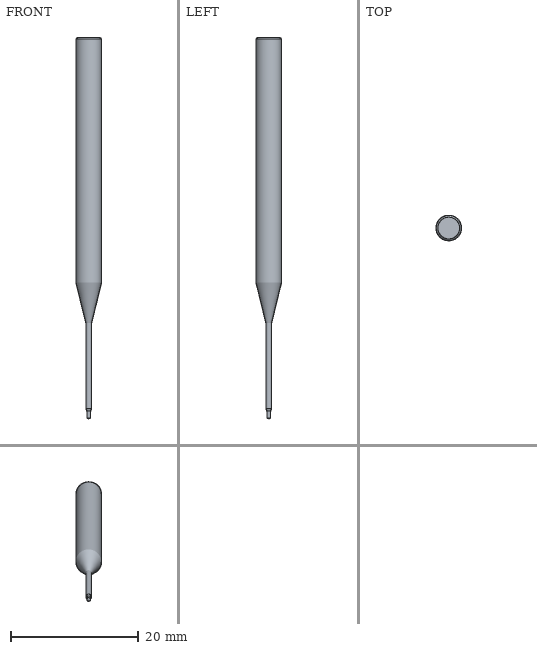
import cadquery as cq

TOOL_LENGTH = 60.0
POINT_HEIGHT = 0.1
TIP_LENGTH = 1.2
NECK_START = 1.6
CONE_START = 15.0
SHANK_START = 21.35

SHANK_RADIUS = 4.0 / 2
NECK_RADIUS = 0.45
TIP_RADIUS = 0.3

BEVEL_HEIGHT = 0.25
BEVEL_INSET = 0.3



def make_shank():
    """Shank, cone, neck and short front taper, turned as one body."""
    return (
        cq.Workplane("XZ")
        .moveTo(0, TIP_LENGTH)
        .lineTo(TIP_RADIUS, TIP_LENGTH)
        .lineTo(NECK_RADIUS, NECK_START)
        .lineTo(NECK_RADIUS, CONE_START)
        .lineTo(SHANK_RADIUS, SHANK_START)
        .lineTo(SHANK_RADIUS, TOOL_LENGTH - BEVEL_HEIGHT)
        .lineTo(SHANK_RADIUS - BEVEL_INSET, TOOL_LENGTH)
        .lineTo(0, TOOL_LENGTH)
        .close()
        .revolve(360, (0, 0, 0), (0, 1, 0))
    )


def make_cutting_tip():
    """Cylindrical cutting tip with a shallow conical point, butting against the front taper."""
    return (
        cq.Workplane("XZ")
        .lineTo(TIP_RADIUS, POINT_HEIGHT)
        .lineTo(TIP_RADIUS, TIP_LENGTH)
        .lineTo(0, TIP_LENGTH)
        .close()
        .revolve(360, (0, 0, 0), (0, 1, 0))
    )


shank = make_shank()
cutting_tip = make_cutting_tip()

result = cq.Compound.makeCompound([shank.val(), cutting_tip.val()])